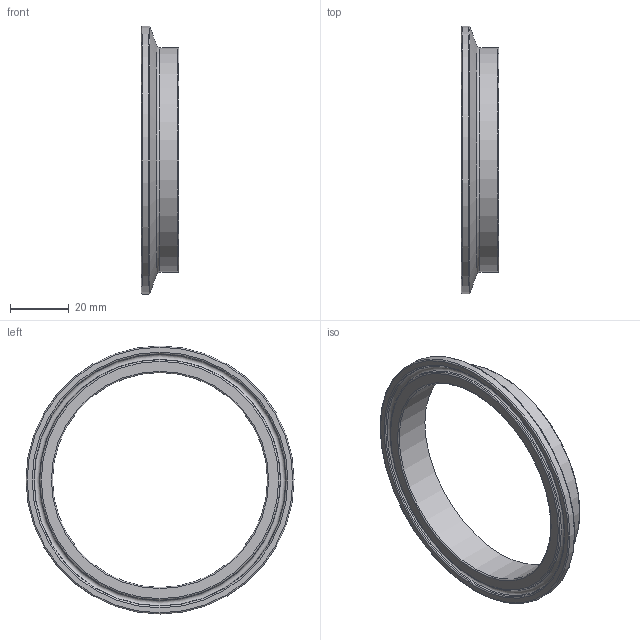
import cadquery as cq
import math

length = 12.7
rim_diameter = 90.91
hub_diameter = 76.2
bore_diameter = 72.9

rim_edge_width = 2.80
taper_angle = 20.0
taper_fillet = 1.2

rim_front_fillet = 0.4
rim_back_fillet = 0.3
hub_end_fillet = 0.3
bore_front_fillet = 0.4

groove_diameter = 83.6
groove_width = 2.4
groove_wall_angle = 20.0
groove_bottom_radius = 0.95
groove_lip_fillet = 0.5

rim_radius = rim_diameter / 2
hub_radius = hub_diameter / 2
bore_radius = bore_diameter / 2
taper_end = rim_edge_width + (rim_radius - hub_radius) * math.tan(math.radians(taper_angle))

groove_centre_radius = groove_diameter / 2
groove_inner_radius = groove_centre_radius - groove_width / 2
groove_outer_radius = groove_centre_radius + groove_width / 2
groove_point_depth = groove_width / 2 / math.tan(math.radians(groove_wall_angle))

section_corners = [
    (0, bore_radius, bore_front_fillet),
    (0, groove_inner_radius, groove_lip_fillet),
    (groove_point_depth, groove_centre_radius, groove_bottom_radius),
    (0, groove_outer_radius, groove_lip_fillet),
    (0, rim_radius, rim_front_fillet),
    (rim_edge_width, rim_radius, rim_back_fillet),
    (taper_end, hub_radius, taper_fillet),
    (length, hub_radius, hub_end_fillet),
    (length, bore_radius, 0),
]


def make_section():
    """Half section of the ring with its groove and rounded corners."""
    points = [(x, radius) for x, radius, rounding in section_corners]
    section = cq.Sketch().polygon(points + points[:1])
    for x, radius, rounding in section_corners:
        if rounding > 0:
            corner = cq.selectors.NearestToPointSelector((x, radius, 0))
            section = section.vertices(corner).fillet(rounding).reset()
    return section


def make_ferrule():
    """Revolve the half section a full turn about the X axis."""
    return cq.Workplane("XY").placeSketch(make_section()).revolve(360, (0, 0, 0), (1, 0, 0))


result = make_ferrule()